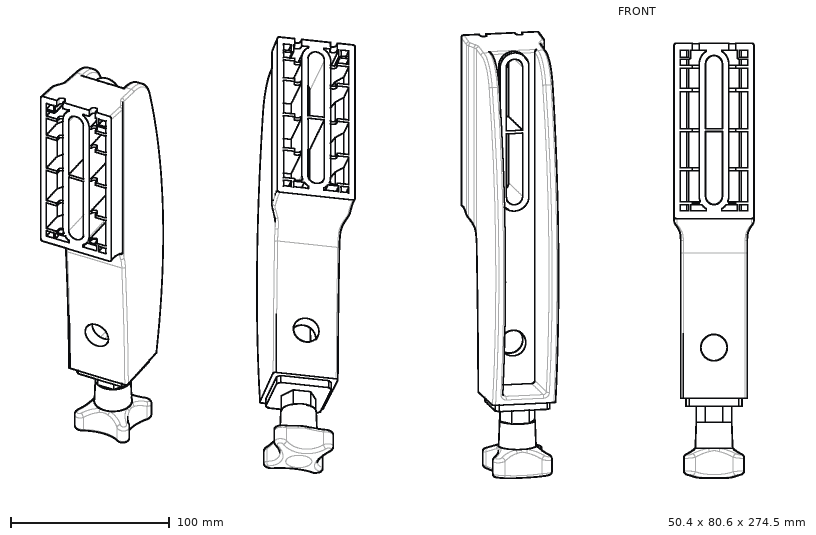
import cadquery as cq
import math


margin = 2.7
touch = 0.3

top_z = 274.5
mount_bottom_z = 163.5
neck_point = (24.7, 142.1)
lower_front_mid = (27.5, 96.0)
underside_curve_mid = (18.0, 157.2)
body_bottom_z = 50.2
body_bottom_front_y = 28.8
body_bottom_back_y = 71.0
back_mid = (80.5, 142.7)
shoulder_end = (61.7, 253.5)
top_slope_end = (38.0, 270.8)

mount_half = 25.2
mount_depth = 15.6
body_half = 21.0
taper_end_y = 23.0
back_half = 20.3
plan_back_y = 82.3
flank_radius = 6.3
rim_round = 1.6

channel_half = 14.0
channel_front_y = 37.3
floor_thickness = 5.5
channel_floor_z = body_bottom_z + floor_thickness
channel_round = 2.0
channel_rim_round = 1.6

slot_radius = 5.2
slot_rim_radius = 9.3
slot_top_z = 266.5
slot_bottom_z = 172.5
slot_rim_back_y = 41.7
slot_bar_z = 219.5
rib_thickness = 2.0

pocket_half = 21.0
pocket_inner_x = 5.0
pocket_top_z = 269.7
pocket_bottom_z = 168.5
pocket_taper_start_y = 14.3
pocket_taper_half = 17.3
pocket_taper_end_y = 21.5
pocket_deep_half = 16.0
pocket_depth = 30.2
rib_heights = [259.3, 244.8, slot_bar_z, 194.8, 173.5]
corner_web_x = 15.5
corner_web_thickness = 1.5
corner_shelf_z = 264.8

groove_x = 11.5
groove_radius = 2.2
groove_depth = 4.7

cross_hole_radius = 8.2
cross_hole_z = 82.3

axis_y = 50.0
plate_size = 35.5
plate_bottom_z = 45.3
plate_corner = 2.2
nut_across_flats = 19.5
nut_bottom_z = 35.0
neck_top_radius = 11.3
neck_bottom_radius = 12.0
knob_top_z = 19.0
lobe_count = 4
lobe_radius = 4.0
lobe_reach = 25.2
waist_radius = 12.5
lobe_low_z = 3.8
lobe_high_z = 13.2
knob_flat_radius = 8.2
knob_under_mid = (17.0, 1.0)
knob_edge_round = 2.2


def box(x0, x1, y0, y1, z0, z1):
    """Box between two opposite corners."""
    return cq.Workplane("XY").box(x1 - x0, y1 - y0, z1 - z0, centered=False).translate((x0, y0, z0))


def obround(radius, y0, y1):
    """Upright obround along Y, concentric with the ends of the mounting slot."""
    length = slot_top_z - slot_bottom_z + 2 * (radius - slot_radius)
    return (
        cq.Workplane("XZ", origin=(0, y0, (slot_top_z + slot_bottom_z) / 2))
        .slot2D(length, 2 * radius, 90)
        .extrude(y0 - y1)
    )


def make_shell():
    """Side outline and plan outline intersected, with the channel open at the back."""
    side = (
        cq.Workplane("YZ", origin=(-mount_half - margin, 0, 0))
        .moveTo(body_bottom_back_y, body_bottom_z)
        .threePointArc(back_mid, shoulder_end)
        .tangentArcPoint(top_slope_end, relative=False)
        .lineTo(0, top_z)
        .lineTo(0, mount_bottom_z)
        .threePointArc(underside_curve_mid, neck_point)
        .threePointArc(lower_front_mid, (body_bottom_front_y, body_bottom_z))
        .close()
        .extrude(2 * (mount_half + margin))
    )
    right_half = [
        (mount_half, 0),
        (mount_half, mount_depth),
        (body_half, taper_end_y),
        (back_half, plan_back_y),
    ]
    left_half = [(-x, y) for x, y in reversed(right_half)]
    plan = cq.Workplane("XY").polyline(right_half + left_half).close().extrude(top_z + margin)
    flank_zone = cq.selectors.BoxSelector(
        (-mount_half - margin, mount_depth - margin, 0),
        (mount_half + margin, taper_end_y + margin, top_z + margin),
    )
    plan = plan.edges("|Z").edges(flank_zone).fillet(flank_radius)
    shell = side.intersect(plan)

    rim_back = cq.selectors.BoxSelector(
        (-mount_half, top_slope_end[0], body_bottom_z + margin), (mount_half, plan_back_y, top_z)
    )
    rim_front = cq.selectors.BoxSelector(
        (-mount_half, neck_point[0], body_bottom_z + margin),
        (mount_half, body_bottom_front_y, neck_point[1]),
    )
    shell = shell.edges("not #X").edges("not |X").edges(rim_back + rim_front).fillet(rim_round)

    channel = box(
        -channel_half, channel_half,
        channel_front_y, plan_back_y + margin,
        channel_floor_z, top_z + margin,
    )
    channel = channel.edges("|Y and <Z").fillet(channel_round)
    shell = shell.cut(channel)

    mouth_top = cq.selectors.BoxSelector(
        (-body_half, channel_front_y - touch, channel_floor_z + margin),
        (body_half, plan_back_y, top_z),
    )
    mouth_back = cq.selectors.BoxSelector(
        (-body_half, axis_y, channel_floor_z - touch),
        (body_half, plan_back_y, channel_floor_z + margin),
    )
    channel_zone = cq.selectors.BoxSelector(
        (-channel_half - touch, 0, channel_floor_z - touch),
        (channel_half + touch, plan_back_y, top_z),
    )
    mouth_edges = shell.edges(channel_zone).edges("not |Y").edges("not |Z").edges(mouth_top + mouth_back)
    return mouth_edges.fillet(channel_rim_round)


def make_pocket(side):
    """Pocket on one side of the slot (side is -1 or 1), less its ribs and corner webs."""
    points = [
        (pocket_inner_x, 0),
        (pocket_half, 0),
        (pocket_half, pocket_taper_start_y),
        (pocket_taper_half, pocket_taper_end_y),
        (pocket_deep_half, pocket_depth),
        (pocket_inner_x, pocket_depth),
    ]
    pocket = (
        cq.Workplane("XY", origin=(0, 0, pocket_bottom_z))
        .polyline([(side * x, y) for x, y in points])
        .close()
        .extrude(pocket_top_z - pocket_bottom_z)
        .cut(obround(slot_rim_radius, 0, pocket_depth))
    )
    for z in rib_heights:
        rib = box(-mount_half, mount_half, 0, pocket_depth, z - rib_thickness / 2, z + rib_thickness / 2)
        pocket = pocket.cut(rib)

    web_x = side * corner_web_x
    half_web = corner_web_thickness / 2
    for z0, z1 in [(pocket_bottom_z, rib_heights[-1]), (corner_shelf_z, pocket_top_z)]:
        pocket = pocket.cut(box(web_x - half_web, web_x + half_web, 0, pocket_depth, z0, z1))
    shelf_ends = sorted([web_x, side * mount_half])
    shelf = box(*shelf_ends, 0, pocket_depth, corner_shelf_z - half_web, corner_shelf_z + half_web)
    return pocket.cut(shelf)


def make_groove(side):
    """Round-bottomed wire groove from the top down to the lowest rib."""
    round_y = groove_depth - groove_radius
    x = side * groove_x
    bottom = rib_heights[-1]
    height = top_z - bottom + margin
    round_part = cq.Workplane("XY", origin=(x, round_y, bottom)).circle(groove_radius).extrude(height)
    mouth = box(x - groove_radius, x + groove_radius, -margin, round_y, bottom, bottom + height)
    return round_part.union(mouth)


def make_body():
    """Shell with the slot rim, pockets, wire grooves, barred slot and cross hole."""
    body = make_shell()
    body = body.union(obround(slot_rim_radius, channel_front_y - margin, slot_rim_back_y))
    for side in (-1, 1):
        body = body.cut(make_pocket(side)).cut(make_groove(side))

    slot_bar = box(
        -slot_radius, slot_radius, 0, slot_rim_back_y,
        slot_bar_z - rib_thickness / 2, slot_bar_z + rib_thickness / 2,
    )
    body = body.cut(obround(slot_radius, -margin, slot_rim_back_y + margin).cut(slot_bar))

    cross_hole = (
        cq.Workplane("XZ", origin=(0, 0, cross_hole_z))
        .circle(cross_hole_radius)
        .extrude(-plan_back_y)
    )
    return body.cut(cross_hole)


def make_clamp_stem():
    """Square clamp plate, hexagonal nut and tapered neck below the body."""
    plate = (
        cq.Workplane("XY", origin=(0, axis_y, plate_bottom_z))
        .rect(plate_size, plate_size)
        .extrude(body_bottom_z - plate_bottom_z)
        .edges("|Z")
        .chamfer(plate_corner)
    )
    nut = (
        cq.Workplane("XY", origin=(0, axis_y, nut_bottom_z))
        .polygon(6, nut_across_flats / math.cos(math.pi / 6))
        .extrude(plate_bottom_z - nut_bottom_z)
    )
    neck_base_z = lobe_high_z
    neck = (
        cq.Workplane("XY", origin=(0, axis_y, neck_base_z))
        .circle(neck_bottom_radius)
        .workplane(offset=nut_bottom_z - neck_base_z)
        .circle(neck_top_radius)
        .loft()
    )
    return plate.union(nut).union(neck)


def make_knob():
    """Four-lobed star knob, its lobes on the diagonals, domed above and below."""
    lobe_centre = lobe_reach - lobe_radius
    half_step = math.pi / lobe_count
    along = lobe_centre * math.cos(half_step)
    hollow_distance = (lobe_centre**2 - (waist_radius - lobe_radius) ** 2) / (
        2 * (along - waist_radius + lobe_radius)
    )
    hollow_radius = hollow_distance - waist_radius

    def polar(radius, angle):
        return (radius * math.cos(angle), radius * math.sin(angle))

    def tangent_point(lobe_angle, hollow_angle):
        lobe_x, lobe_y = polar(lobe_centre, lobe_angle)
        hollow_x, hollow_y = polar(hollow_distance, hollow_angle)
        share = lobe_radius / (lobe_radius + hollow_radius)
        return (lobe_x + (hollow_x - lobe_x) * share, lobe_y + (hollow_y - lobe_y) * share)

    star = cq.Workplane("XY", origin=(0, axis_y, 0)).moveTo(*tangent_point(half_step, 0))
    for index in range(lobe_count):
        lobe_angle = (2 * index + 1) * half_step
        hollow_angle = lobe_angle + half_step
        next_lobe_angle = hollow_angle + half_step
        star = star.threePointArc(polar(lobe_reach, lobe_angle), tangent_point(lobe_angle, hollow_angle))
        star = star.threePointArc(
            polar(waist_radius, hollow_angle), tangent_point(next_lobe_angle, hollow_angle)
        )
    star = star.close().extrude(knob_top_z)

    dome = (
        cq.Workplane("XZ", origin=(0, axis_y, 0))
        .lineTo(knob_flat_radius, 0)
        .threePointArc(knob_under_mid, (lobe_reach + margin, lobe_low_z))
        .lineTo(lobe_reach + margin, lobe_high_z)
        .lineTo(neck_bottom_radius, knob_top_z)
        .lineTo(0, knob_top_z)
        .close()
        .revolve(360, (0, 0, 0), (0, 1, 0))
    )
    return star.intersect(dome).edges("%BSPLINE").fillet(knob_edge_round)


result = make_body().union(make_clamp_stem()).union(make_knob())